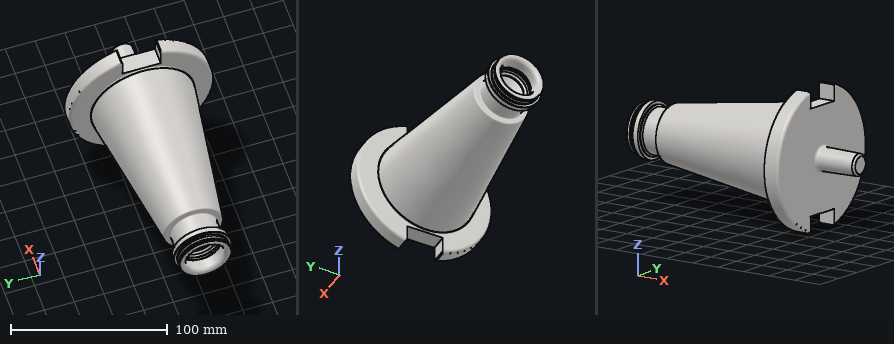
import cadquery as cq
import math

collar_start = 6.5
collar_end = 10.8
shoulder_end = 11.5
neck_start = 12.2
cone_start = 25.0
cone_end = 127.3
relief_start = 128.3
flange_start = 130.0
flange_end = 141.9
spigot_taper_start = 143.8
total_length = 171.8

tip_radius = 17.4
collar_radius = 19.4
shoulder_radius = 17.0
neck_radius = 15.6
cone_end_radius = 34.9
relief_radius = 34.5
flange_radius = 48.6
spigot_base_radius = 7.9
spigot_end_radius = 7.4

cone_slope = 7 / 24 / 2
cone_start_radius = cone_end_radius - cone_slope * (cone_end - cone_start)

groove_start = 1.0
groove_floor_start = 2.5
groove_floor_end = 3.6
groove_end = 5.2
groove_radius = 16.8

tip_fillet = 0.5
collar_chamfer_height = 0.2
collar_front_chamfer_length = 0.5
collar_back_chamfer_length = 1.0
neck_back_fillet = 0.5
cone_edge_fillet = 1.0
relief_fillet = 0.7
flange_fillet = 2.0
spigot_chamfer = 1.5

mouth_radius = 16.0
bore_radius = 12.9
mouth_fillet = mouth_radius - bore_radius
undercut_start = 9.8
undercut_end = 11.9
undercut_radius = 13.5
seat_depth = 13.5
seat_radius = 12.4
pilot_radius = 10.8
pilot_start = seat_depth + seat_radius - pilot_radius
pilot_end = 15.8
drill_point_angle = 120.0

slot_width = 25.6
slot_floor = 35.4
slot_edge_chamfer = 0.7


def revolve_about_x(profile):
    """Turn a closed profile drawn in (x, radius) about the X axis."""
    return profile.close().revolve(360, (0, 0, 0), (1, 0, 0))


def make_tip_and_neck():
    profile = (
        cq.Workplane("XZ")
        .lineTo(0, tip_radius - tip_fillet)
        .radiusArc((tip_fillet, tip_radius), tip_fillet)
        .lineTo(groove_start, tip_radius)
        .lineTo(groove_floor_start, groove_radius)
        .lineTo(groove_floor_end, groove_radius)
        .lineTo(groove_end, tip_radius)
        .lineTo(collar_start, tip_radius)
        .lineTo(collar_start, collar_radius - collar_chamfer_height)
        .lineTo(collar_start + collar_front_chamfer_length, collar_radius)
        .lineTo(collar_end - collar_back_chamfer_length, collar_radius)
        .lineTo(collar_end, collar_radius - collar_chamfer_height)
        .lineTo(collar_end, shoulder_radius)
        .lineTo(shoulder_end, shoulder_radius)
        .lineTo(neck_start, neck_radius)
        .lineTo(cone_start - neck_back_fillet, neck_radius)
        .radiusArc((cone_start, neck_radius + neck_back_fillet), -neck_back_fillet)
        .lineTo(cone_start, 0)
    )
    return revolve_about_x(profile)


def make_cone():
    profile = (
        cq.Workplane("XZ")
        .moveTo(cone_start, 0)
        .lineTo(cone_start, cone_start_radius)
        .lineTo(cone_end, cone_end_radius)
        .lineTo(relief_start, cone_end_radius)
        .lineTo(relief_start, relief_radius)
        .lineTo(flange_start - relief_fillet, relief_radius)
        .radiusArc((flange_start, relief_radius + relief_fillet), -relief_fillet)
        .lineTo(flange_start, 0)
    )
    cone = revolve_about_x(profile)
    small_end_edge = cq.selectors.NearestToPointSelector((cone_start, 0, cone_start_radius))
    return cone.edges(small_end_edge).fillet(cone_edge_fillet)


def make_flange():
    flange = (
        cq.Workplane("YZ", origin=(flange_start, 0, 0))
        .circle(flange_radius)
        .extrude(flange_end - flange_start)
        .edges("%CIRCLE")
        .fillet(flange_fillet)
    )
    return flange.cut(make_slot()).cut(make_slot().mirror("XY"))


def make_slot():
    """Upper driving slot, widening at 45 degrees where it meets the rim."""
    half_width = slot_width / 2
    rim_height = math.sqrt(flange_radius**2 - (half_width + slot_edge_chamfer) ** 2)
    chamfer_start = rim_height - slot_edge_chamfer
    clearance_height = flange_radius + slot_edge_chamfer
    mouth_half_width = half_width + clearance_height - chamfer_start
    return (
        cq.Workplane("YZ", origin=(flange_start, 0, 0))
        .moveTo(-half_width, slot_floor)
        .lineTo(half_width, slot_floor)
        .lineTo(half_width, chamfer_start)
        .lineTo(mouth_half_width, clearance_height)
        .lineTo(-mouth_half_width, clearance_height)
        .lineTo(-half_width, chamfer_start)
        .close()
        .extrude(flange_end - flange_start)
    )


def make_spigot():
    root_fillet = spigot_taper_start - flange_end
    profile = (
        cq.Workplane("XZ")
        .moveTo(flange_end, 0)
        .lineTo(flange_end, spigot_base_radius + root_fillet)
        .radiusArc((spigot_taper_start, spigot_base_radius), -root_fillet)
        .lineTo(total_length - spigot_chamfer, spigot_end_radius)
        .lineTo(total_length, spigot_end_radius - spigot_chamfer)
        .lineTo(total_length, 0)
    )
    return revolve_about_x(profile)


def make_bore():
    point_length = pilot_radius / math.tan(math.radians(drill_point_angle / 2))
    profile = (
        cq.Workplane("XZ")
        .lineTo(0, mouth_radius)
        .radiusArc((mouth_fillet, bore_radius), -mouth_fillet)
        .lineTo(undercut_start, bore_radius)
        .lineTo(undercut_start, undercut_radius)
        .lineTo(undercut_end, undercut_radius)
        .lineTo(undercut_end, bore_radius)
        .lineTo(seat_depth, seat_radius)
        .lineTo(pilot_start, pilot_radius)
        .lineTo(pilot_end, pilot_radius)
        .lineTo(pilot_end + point_length, 0)
    )
    return revolve_about_x(profile)


result = (
    make_tip_and_neck()
    .union(make_cone())
    .union(make_flange())
    .union(make_spigot())
    .cut(make_bore())
)